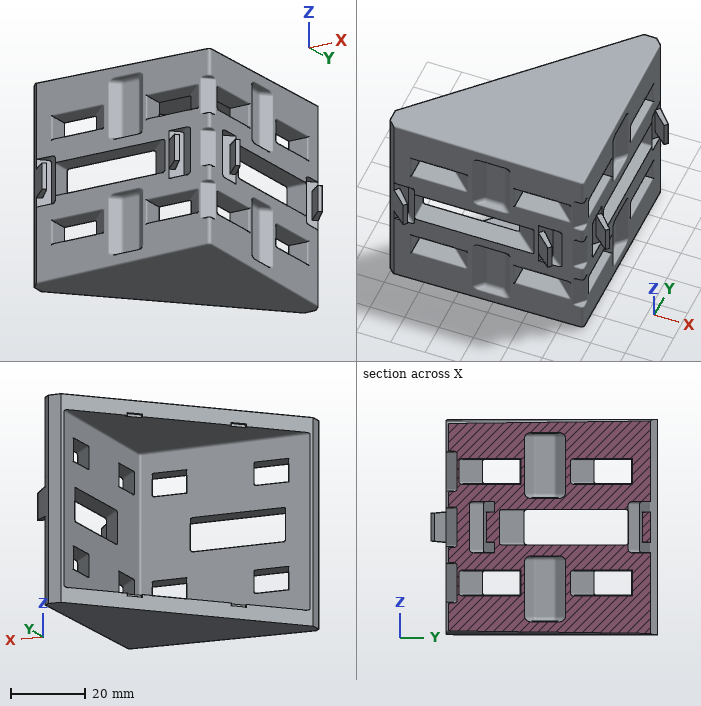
import cadquery as cq
import math


EDGE_RADIUS = 0.4

LEG = 57.0
HEIGHT = 58.0
MID_Z = HEIGHT / 2
TIP_CHAMFER = 1.9
TIP_HEIGHT = 5.6
DRAFT = math.tan(math.radians(1.0))
CORNER_RADIUS = 1.0
RIM_RADIUS = 0.5

WALL = 6.2
SIDE_WALL = 4.3
CAVITY_RADIUS = 0.7
OPEN_LINE = LEG + TIP_HEIGHT
OPEN_DEPTH = OPEN_LINE / math.sqrt(2)
OVERSIZE = 2 * LEG

SNAP_OFFSET = 15.0
SNAP_WIDTH = 4.4
SNAP_DEPTH = 1.0
SNAP_CUT = 0.75

OPENING_OVERRUN = 1.0

HOLE_PITCH_Z = 30.0
HOLE_STARTS = (50.0, 20.0)
HOLE_INNER_LENGTH = 10.1
HOLE_OUTER_LENGTH = 16.4
HOLE_HEIGHT = 6.5
HOLE_RADIUS = 0.4

SLOT_START = 49.1
SLOT_INNER_LENGTH = 28.0
SLOT_OUTER_LENGTH = 34.7
SLOT_HEIGHT = 9.5
SLOT_RADIUS = 0.6

POCKET_X = -26.7
POCKET_LENGTH = 10.9
POCKET_HEIGHT = 17.3
POCKET_DEPTH = 2.7
POCKET_PITCH_Z = 33.2
POCKET_RADIUS = 1.1

TAB_STARTS = (55.1, 13.1)
GROOVE_LENGTHS = (6.0, 6.8)
GROOVE_DEPTH = 3.0
GROOVE_HEIGHT = 13.7
GROOVE_RADIUS = 0.8
TAB_REACH = 4.02
TAB_ROOT_THICKNESS = 1.7
TAB_TIP_THICKNESS = 1.28
TAB_ROOT_HEIGHT = 8.3
TAB_TIP_HEIGHT = 7.5
TAB_ANCHOR = 0.5

NOTCH_LEG = 3.0
NOTCH_HEIGHT = 10.4
NOTCH_PITCH = 15.0


def prism(points, bottom, top):
    """Outline in the XY plane raised from one height to another."""
    return cq.Workplane("XY").workplane(offset=bottom).polyline(points).close().extrude(top - bottom)


def round_mouth(body, left, right, mid_z, height, depth=0):
    """Round the edges of an opening in the Y = 0 leg between two X positions, to a given depth."""
    margin = EDGE_RADIUS / 2
    low = (left - margin, -margin, mid_z - height / 2 - margin)
    high = (right + margin, depth + margin, mid_z + height / 2 + margin)
    mouth = cq.selectors.BoxSelector(low, high, boundingbox=True)
    return body.edges(mouth).fillet(EDGE_RADIUS)


def drafted_slab(half_height_at_mouth):
    """Slab centred on mid height that thins from the sloping face toward the corner."""
    mouth = half_height_at_mouth
    corner = mouth - OPEN_DEPTH * DRAFT
    beyond = mouth + OPEN_DEPTH * DRAFT
    diagonal = cq.Plane(origin=(0, 0, MID_Z), xDir=(-1, 1, 0), normal=(1, 1, 0))
    outline = [
        (0, -corner), (OPEN_DEPTH * 2, -beyond), (OPEN_DEPTH * 2, beyond), (0, corner),
    ]
    return cq.Workplane(diagonal).polyline(outline).close().extrude(OVERSIZE, both=True)


def turned_about_diagonal(shape):
    """Copy turned half way round about the diagonal at mid height, which swaps the two legs."""
    return shape.rotate((0, 0, MID_Z), (1, -1, MID_Z), 180)


def make_body():
    outline = [
        (0, 0),
        (-LEG + TIP_CHAMFER, 0),
        (-LEG, TIP_CHAMFER),
        (-LEG, TIP_HEIGHT),
        (-TIP_HEIGHT, LEG),
        (-TIP_CHAMFER, LEG),
        (0, LEG - TIP_CHAMFER),
    ]
    body = prism(outline, 0, HEIGHT).intersect(drafted_slab(HEIGHT / 2))
    body = body.edges(cq.selectors.NearestToPointSelector((0, 0, MID_Z))).fillet(CORNER_RADIUS)
    return body.faces("<Y or >X").edges("not |Z").fillet(RIM_RADIUS)


def make_cavity():
    outline = [(-WALL, WALL), (-OVERSIZE, WALL), (-WALL, OVERSIZE)]
    cavity = prism(outline, 0, HEIGHT).intersect(drafted_slab(HEIGHT / 2 - SIDE_WALL))
    return cavity.faces("<Y or >X").edges("not(<X or >Y)").fillet(CAVITY_RADIUS)


def make_snap_recesses():
    mouth = cq.Plane(
        origin=(-OPEN_LINE / 2, OPEN_LINE / 2, MID_Z), xDir=(1, 1, 0), normal=(-1, 1, 0)
    )
    half_opening = HEIGHT / 2 - SIDE_WALL
    places = [(-SNAP_OFFSET, 0), (SNAP_OFFSET, 0)]
    height = 2 * (half_opening + SNAP_CUT)
    return cq.Workplane(mouth).pushPoints(places).rect(SNAP_WIDTH, height).extrude(-SNAP_DEPTH)


def slanted_opening(start, inner_length, outer_length, height, mid_z):
    """Opening through the Y = 0 leg whose end nearer the corner slants outward."""
    slope = (outer_length - inner_length) / WALL
    past = WALL + OPENING_OVERRUN
    outline = [
        (-start, 0),
        (-start + outer_length, 0),
        (-start + outer_length - slope * past, past),
        (-start, past),
    ]
    return prism(outline, mid_z - height / 2, mid_z + height / 2)


def make_holes():
    holes = cq.Workplane()
    for side in (-1, 1):
        for start in HOLE_STARTS:
            mid_z = MID_Z + side * HOLE_PITCH_Z / 2
            hole = slanted_opening(start, HOLE_INNER_LENGTH, HOLE_OUTER_LENGTH, HOLE_HEIGHT, mid_z)
            holes = holes.add(hole.faces(">X").edges("not |Z").fillet(HOLE_RADIUS))
    return holes.combine()


def make_slot():
    slot = slanted_opening(SLOT_START, SLOT_INNER_LENGTH, SLOT_OUTER_LENGTH, SLOT_HEIGHT, MID_Z)
    return slot.faces("<X or >X").edges("not |Z").fillet(SLOT_RADIUS)


def make_pocket(mid_z):
    half = POCKET_LENGTH / 2
    outline = [
        (POCKET_X - half, 0),
        (POCKET_X + half, 0),
        (POCKET_X + half - POCKET_DEPTH, POCKET_DEPTH),
        (POCKET_X - half + POCKET_DEPTH, POCKET_DEPTH),
    ]
    pocket = prism(outline, mid_z - POCKET_HEIGHT / 2, mid_z + POCKET_HEIGHT / 2)
    return pocket.edges("not <Y").fillet(POCKET_RADIUS)


def make_groove(start, length):
    outline = [(-start, 0), (-start + length, 0), (-start + GROOVE_DEPTH, GROOVE_DEPTH)]
    groove = prism(outline, MID_Z - GROOVE_HEIGHT / 2, MID_Z + GROOVE_HEIGHT / 2)
    return groove.faces(">X").edges("not |Z").fillet(GROOVE_RADIUS)


def make_tab(start):
    """Tapered blade square to the left side of its groove, reaching past the leg at 45 degrees."""
    root = cq.Plane(origin=(-start, 0, MID_Z), xDir=(1, 1, 0), normal=(1, -1, 0))
    centre = TAB_ROOT_THICKNESS / 2
    length = TAB_REACH * math.sqrt(2) + (TAB_ROOT_THICKNESS - TAB_TIP_THICKNESS) / 2
    blade = (
        cq.Workplane(root)
        .center(centre, 0)
        .rect(TAB_ROOT_THICKNESS, TAB_ROOT_HEIGHT)
        .workplane(offset=length)
        .rect(TAB_TIP_THICKNESS, TAB_TIP_HEIGHT)
        .loft()
    )
    anchor = (
        cq.Workplane(root)
        .center(centre, 0)
        .rect(TAB_ROOT_THICKNESS, TAB_ROOT_HEIGHT)
        .extrude(-TAB_ANCHOR)
    )
    return blade.union(anchor)


def make_corner_notch(mid_z):
    outline = [(0, 0), (0, NOTCH_LEG), (-NOTCH_LEG, 0)]
    return prism(outline, mid_z - NOTCH_HEIGHT / 2, mid_z + NOTCH_HEIGHT / 2)


def add_notches(body):
    for step in (-1, 0, 1):
        mid_z = MID_Z + step * NOTCH_PITCH
        body = body.cut(make_corner_notch(mid_z))
        body = round_mouth(body, -NOTCH_LEG, 0, mid_z, NOTCH_HEIGHT, NOTCH_LEG)
    return body


def add_leg_openings(body):
    """Cut every opening of the Y = 0 leg."""
    body = body.cut(make_holes())
    for side in (-1, 1):
        for start in HOLE_STARTS:
            mid_z = MID_Z + side * HOLE_PITCH_Z / 2
            body = round_mouth(body, -start, -start + HOLE_OUTER_LENGTH, mid_z, HOLE_HEIGHT)
    half_pocket = POCKET_LENGTH / 2
    for side in (-1, 1):
        mid_z = MID_Z + side * POCKET_PITCH_Z / 2
        body = body.cut(make_pocket(mid_z))
        body = round_mouth(body, POCKET_X - half_pocket, POCKET_X + half_pocket, mid_z, POCKET_HEIGHT)
    body = body.cut(make_slot())
    for start, length in zip(TAB_STARTS, GROOVE_LENGTHS):
        body = body.cut(make_groove(start, length))
    return body


result = add_notches(make_body()).cut(make_cavity()).cut(make_snap_recesses())
for leg in range(2):
    result = turned_about_diagonal(add_leg_openings(result))

for start in TAB_STARTS:
    tab = make_tab(start)
    result = result.union(tab).union(turned_about_diagonal(tab))